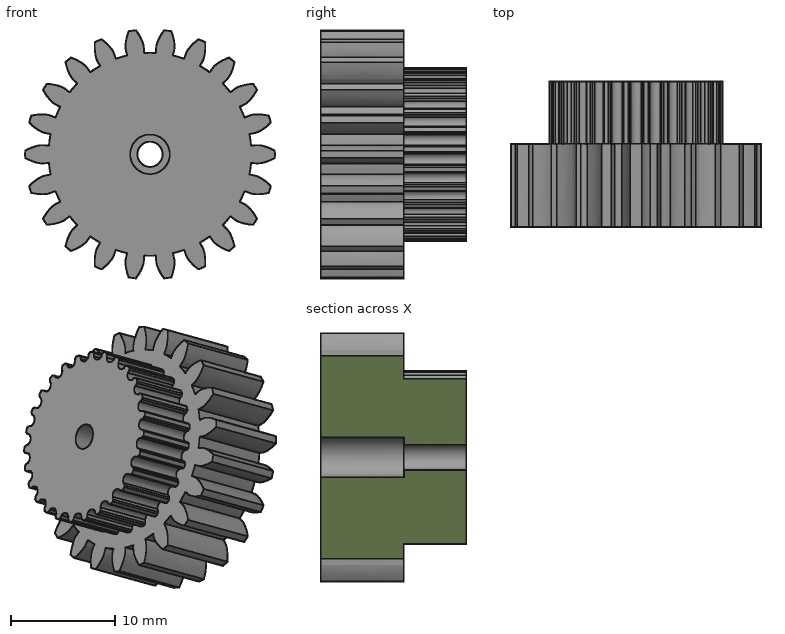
import cadquery as cq
import math

MODULE = 1.0
GEAR_TEETH = 22
PRESSURE_ANGLE = math.radians(20)
DEDENDUM_FACTOR = 1.25
GEAR_WIDTH = 8.0
INVOLUTE_STEPS = 6

PITCH_RADIUS = MODULE * GEAR_TEETH / 2
TIP_RADIUS = PITCH_RADIUS + MODULE
ROOT_RADIUS = PITCH_RADIUS - DEDENDUM_FACTOR * MODULE
BASE_RADIUS = PITCH_RADIUS * math.cos(PRESSURE_ANGLE)

BELT_PITCH = 2.0
PULLEY_TEETH = 27
PITCH_LINE_OFFSET = 0.254
PULLEY_WIDTH = 6.0
PULLEY_RADIUS = PULLEY_TEETH * BELT_PITCH / (2 * math.pi) - PITCH_LINE_OFFSET

GROOVE_DEPTH = 0.764
MOUTH_HALF_WIDTH = 0.747
LIP_HALF_WIDTH = 0.598
LIP_DEPTH = 0.131
FLANK_HALF_WIDTH = 0.505
FLANK_DEPTH = 0.444
LIP_RADIUS = 0.15
FLANK_RADIUS = 1.0

BORE_DIAMETER = 2.4
COUNTERBORE_DIAMETER = 3.8
COUNTERBORE_DEPTH = GEAR_WIDTH


def polar(radius, angle):
    """Point at a radius and an angle from +X towards +Z."""
    return (radius * math.cos(angle), radius * math.sin(angle))


def involute_function(radius):
    """Polar angle swept by the involute between the base circle and a radius."""
    roll = math.acos(BASE_RADIUS / radius)
    return math.tan(roll) - roll


def tooth_half_angle(radius):
    """Half the angle a gear tooth spans at a radius on its involute flank."""
    at_pitch = math.pi / (2 * GEAR_TEETH)
    return at_pitch + involute_function(PITCH_RADIUS) - involute_function(radius)


def make_gear():
    """Gear with one tooth centred on +X, radial flanks below the base circle."""
    pitch_angle = 2 * math.pi / GEAR_TEETH
    base_half = tooth_half_angle(BASE_RADIUS)
    step = (TIP_RADIUS - BASE_RADIUS) / INVOLUTE_STEPS
    flank_radii = [BASE_RADIUS + step * i for i in range(INVOLUTE_STEPS + 1)]

    outline = cq.Workplane("XZ").moveTo(*polar(ROOT_RADIUS, -base_half))
    for tooth in range(GEAR_TEETH):
        centre = tooth * pitch_angle
        rising = [polar(r, centre - tooth_half_angle(r)) for r in flank_radii]
        falling = [polar(r, centre + tooth_half_angle(r)) for r in reversed(flank_radii)]
        outline = (
            outline.lineTo(*rising[0])
            .spline(rising[1:], includeCurrent=True)
            .threePointArc(polar(TIP_RADIUS, centre), falling[0])
            .spline(falling[1:], includeCurrent=True)
            .lineTo(*polar(ROOT_RADIUS, centre + base_half))
            .threePointArc(
                polar(ROOT_RADIUS, centre + pitch_angle / 2),
                polar(ROOT_RADIUS, centre + pitch_angle - base_half),
            )
        )
    return outline.close().extrude(-GEAR_WIDTH)


def make_pulley():
    """Pulley with one belt groove centred on +Z."""
    pitch_angle = 2 * math.pi / PULLEY_TEETH
    mouth_half_angle = math.asin(MOUTH_HALF_WIDTH / PULLEY_RADIUS)
    mouth_height = PULLEY_RADIUS * math.cos(mouth_half_angle)

    def groove_point(side, depth, centre):
        """Point in a groove: side is positive in the direction of travel."""
        height = mouth_height - depth
        return polar(math.hypot(height, side), centre + math.atan2(side, height))

    first = math.pi / 2
    outline = cq.Workplane("XZ").moveTo(*groove_point(-MOUTH_HALF_WIDTH, 0, first))
    for groove in range(PULLEY_TEETH):
        centre = first + groove * pitch_angle
        outline = (
            outline.radiusArc(groove_point(-LIP_HALF_WIDTH, LIP_DEPTH, centre), LIP_RADIUS)
            .radiusArc(groove_point(-FLANK_HALF_WIDTH, FLANK_DEPTH, centre), -FLANK_RADIUS)
            .threePointArc(
                groove_point(0, GROOVE_DEPTH, centre),
                groove_point(FLANK_HALF_WIDTH, FLANK_DEPTH, centre),
            )
            .radiusArc(groove_point(LIP_HALF_WIDTH, LIP_DEPTH, centre), -FLANK_RADIUS)
            .radiusArc(groove_point(MOUTH_HALF_WIDTH, 0, centre), LIP_RADIUS)
            .threePointArc(
                polar(PULLEY_RADIUS, centre + pitch_angle / 2),
                groove_point(-MOUTH_HALF_WIDTH, 0, centre + pitch_angle),
            )
        )
    return outline.close().extrude(-PULLEY_WIDTH).translate((0, GEAR_WIDTH, 0))


def make_bore():
    """Through bore with a wider counterbore entering from the gear face."""
    bore = cq.Workplane("XZ").circle(BORE_DIAMETER / 2).extrude(-(GEAR_WIDTH + PULLEY_WIDTH))
    counterbore = cq.Workplane("XZ").circle(COUNTERBORE_DIAMETER / 2).extrude(-COUNTERBORE_DEPTH)
    return bore.union(counterbore)


result = make_gear().union(make_pulley()).cut(make_bore())